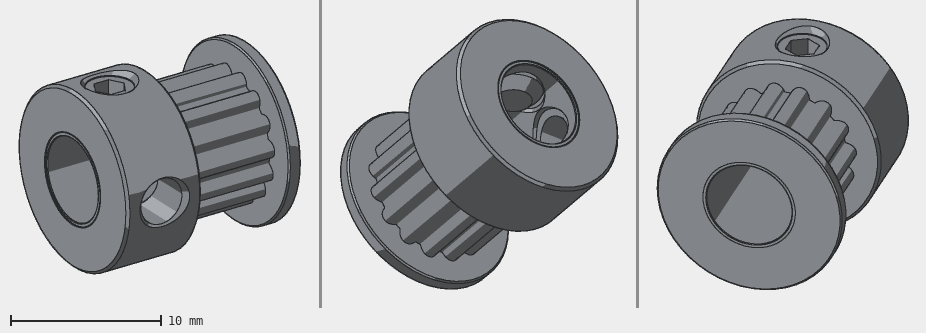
import cadquery as cq
import math


rim_radius = 6.503
hub_length = 6.0
drum_length = 7.0
total_length = 14.0
drum_end = hub_length + drum_length
flange_thickness = total_length - drum_end
hub_chamfer = 0.2
flange_chamfer = 0.11

tooth_count = 15
tooth_tip_radius = 4.85
tooth_height = 0.71
crown_radius = 0.56
flank_radius = 1.0
flank_offset = 0.32
root_fillet = 0.11
tooth_pitch = 360 / tooth_count
root_radius = tooth_tip_radius - tooth_height

sleeve_outer_radius = 3.25
sleeve_inner_radius = 3.0
bore_chamfer = 0.05

screw_y = hub_length / 2
screw_radius = 2.0
screw_length = 4.0
screw_tip_height = 2.02
screw_tip_chamfer = 0.74
screw_top = screw_tip_height + screw_length
hex_across_flats = 2.0
hex_depth = 2.0

hub_hole_radius = 1.65
countersink_radius = 2.0
countersink_depth = 0.4
sleeve_hole_radius = 2.1
screw_top_chamfer = screw_radius - hub_hole_radius

tip = (0, tooth_tip_radius)
crown_z = tooth_tip_radius - crown_radius
flank_z = crown_z - math.sqrt((flank_radius - crown_radius) ** 2 - flank_offset**2)
crown_share = crown_radius / (flank_radius - crown_radius)
shoulder = (crown_share * flank_offset, crown_z + crown_share * (crown_z - flank_z))
fillet_z = root_radius + root_fillet
fillet_x = math.sqrt((flank_radius + root_fillet) ** 2 - (fillet_z - flank_z) ** 2) - flank_offset
flank_share = flank_radius / (flank_radius + root_fillet)
foot = (
    flank_share * (fillet_x + flank_offset) - flank_offset,
    flank_z + flank_share * (fillet_z - flank_z),
)
root = (fillet_x, root_radius)
groove_radius = math.hypot(*root)


def mirrored(point):
    return (-point[0], point[1])


def cylinder_along_y(radius, start, length):
    return cq.Workplane("XZ", origin=(0, start, 0)).circle(radius).extrude(-length)


def cylinder_along_z(radius, start, length):
    return cq.Workplane("XY", origin=(0, screw_y, start)).circle(radius).extrude(length)


def turn_about_axis(shape, angle):
    """Turn a shape about the pulley axis; 90 degrees takes +Z to +X."""
    return shape.rotate((0, 0, 0), (0, 1, 0), angle)


def make_tooth():
    """One tooth on +Z; its flat foot lies inside the drum core."""
    return (
        cq.Workplane("XZ", origin=(0, hub_length, 0))
        .moveTo(*mirrored(root))
        .radiusArc(mirrored(foot), -root_fillet)
        .radiusArc(mirrored(shoulder), flank_radius)
        .radiusArc(tip, crown_radius)
        .radiusArc(shoulder, crown_radius)
        .radiusArc(foot, flank_radius)
        .radiusArc(root, -root_fillet)
        .close()
        .extrude(-drum_length)
    )


def make_drum():
    """Round core with the ring of teeth; a groove, not a tooth, points along +Z."""
    drum = cylinder_along_y(groove_radius, hub_length, drum_length)
    tooth = make_tooth()
    for index in range(tooth_count):
        drum = drum.union(turn_about_axis(tooth, (index + 0.5) * tooth_pitch))
    return drum


def make_hub_hole():
    """Cross hole on +Z with a conical mouth."""
    hole = cylinder_along_z(hub_hole_radius, 0, rim_radius)
    mouth_bottom = cq.Vector(0, screw_y, rim_radius - countersink_depth)
    mouth = cq.Solid.makeCone(hub_hole_radius, countersink_radius, countersink_depth, mouth_bottom)
    return hole.union(cq.Workplane(mouth))


def make_screw_blank():
    """Screw without its socket, also the shape of its seat in the hub."""
    screw = cylinder_along_z(screw_radius, screw_tip_height, screw_length)
    return screw.faces("<Z").chamfer(screw_tip_chamfer).faces(">Z").chamfer(screw_top_chamfer)


def make_pulley():
    """Hub and toothed drum in one piece."""
    hub = cylinder_along_y(rim_radius, 0, hub_length).edges().chamfer(hub_chamfer)
    pulley = hub.union(make_drum())
    pulley = pulley.cut(cylinder_along_y(sleeve_outer_radius, 0, drum_end))
    pulley = pulley.faces("<Y").edges(cq.selectors.RadiusNthSelector(0)).chamfer(bore_chamfer)
    hub_hole = make_hub_hole()
    pulley = pulley.cut(hub_hole).cut(turn_about_axis(hub_hole, 90))
    return pulley.cut(make_screw_blank())


def make_flange():
    flange = cylinder_along_y(rim_radius, drum_end, flange_thickness).edges().chamfer(flange_chamfer)
    return flange.cut(cylinder_along_y(sleeve_outer_radius, drum_end, flange_thickness))


def make_sleeve():
    """Thin bore liner over the whole length, with a clearance hole below each hub hole."""
    sleeve = cylinder_along_y(sleeve_outer_radius, 0, total_length)
    sleeve = sleeve.cut(cylinder_along_y(sleeve_inner_radius, 0, total_length))
    sleeve = sleeve.edges(cq.selectors.RadiusNthSelector(0)).chamfer(bore_chamfer)
    hole = cylinder_along_z(sleeve_hole_radius, 0, rim_radius)
    return sleeve.cut(hole).cut(turn_about_axis(hole, 90))


def make_set_screw():
    """Hexagon-socket screw whose conical tip stands out into the bore."""
    socket = (
        cq.Workplane("XY", origin=(0, screw_y, screw_top))
        .polygon(6, hex_across_flats, circumscribed=True)
        .extrude(-hex_depth)
    )
    return make_screw_blank().cut(socket)


pulley = make_pulley().solids()
flange = make_flange().solids()
sleeve = make_sleeve().solids()
set_screw = make_set_screw().solids()

result = cq.Compound.makeCompound([pulley.val(), flange.val(), sleeve.val(), set_screw.val()])